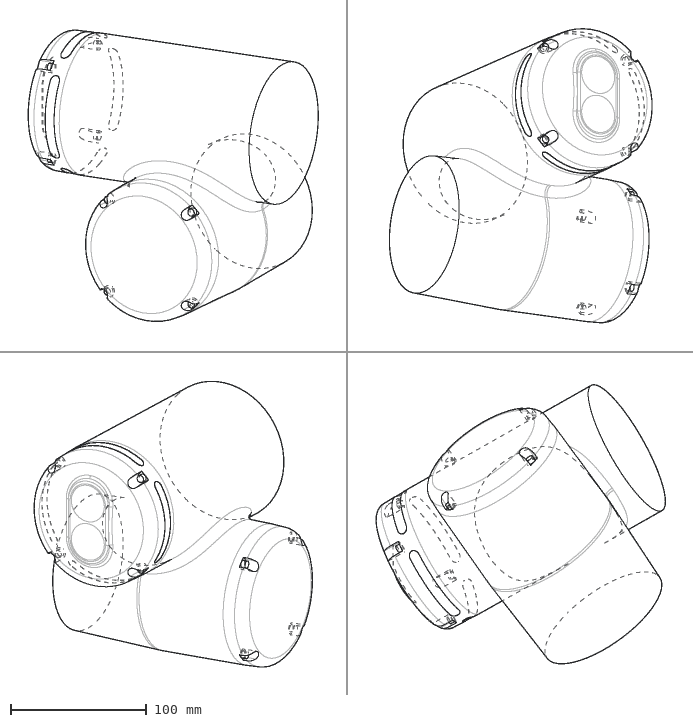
import cadquery as cq
import math


tolerance = 0.02
clearance = 2.0

main_radius = 53.0
main_right = 67.8
main_seam = -91.5
total_length = 195.5

branch_drop = 80.0
branch_waist_radius = 53.8
branch_open_radius = 51.0
branch_back = 74.5
branch_seam = 72.3
branch_waist_blend = 1.0
junction_fillet = 5.9

cap_shoulder_radius = 52.4
cap_face_radius = 44.5
cap_corner_depth = 8.2
cap_dome_rise = 3.5
main_skirt = 21.5
branch_skirt = 9.4

screw_circle_radius = 49.7
screw_head_radius = 2.7
screw_head_height = 3.5
notch_half_width = 4.1
main_notch_behind_shoulder = 6.8
branch_notch_behind_shoulder = 3.1

groove_width = 7.6
groove_half_height = 31.5
groove_depth = 0.2
groove_from_seam = 8.2

boss_half_spacing = 14.9
boss_half_width = 16.2
boss_taper = 42
boss_depth = 5.9
boss_rim_fillet = 2.5
boss_base_fillet = 3.5
lens_radius = 14.0
lens_rise = 1.47
boss_top = main_right - total_length + lens_rise


def spherical_radius(rim_radius, rise):
    """Radius of the sphere through a rim of the given radius, bulging by the given rise."""
    return (rim_radius**2 + rise**2) / (2 * rise)


dome_radius = spherical_radius(cap_face_radius, cap_dome_rise)
dome_centre_x = main_seam - main_skirt - cap_corner_depth - cap_dome_rise + dome_radius


def cap_blank(skirt):
    """Cap along +Z with its joint at Z = 0: tapered skirt, rounded corner and shallow dome."""
    face = skirt + cap_corner_depth
    corner_width = cap_shoulder_radius - cap_face_radius
    diagonal = math.sqrt(0.5)
    corner_mid = (
        cap_face_radius + corner_width * diagonal,
        skirt + cap_corner_depth * diagonal,
    )
    dome_centre = face + cap_dome_rise - dome_radius
    half_face = cap_face_radius / 2
    dome_mid = (half_face, dome_centre + math.sqrt(dome_radius**2 - half_face**2))
    return (
        cq.Workplane("XZ")
        .moveTo(0, 0)
        .lineTo(main_radius, 0)
        .lineTo(cap_shoulder_radius, skirt)
        .threePointArc(corner_mid, (cap_face_radius, face))
        .threePointArc(dome_mid, (0, face + cap_dome_rise))
        .close()
        .revolve(360, (0, 0, 0), (0, 1, 0))
    )


def add_screws(cap, skirt, notch_behind_shoulder):
    """Cut four radial notches into the cap corner and stand a screw head in each."""
    height = notch_behind_shoulder + cap_corner_depth + cap_dome_rise
    length = main_radius + clearance - screw_circle_radius
    floor = cq.Workplane("XY").workplane(offset=skirt - notch_behind_shoulder)
    rounded_end = floor.center(screw_circle_radius, 0).circle(notch_half_width).extrude(height)
    channel = (
        floor.center(screw_circle_radius + length / 2, 0)
        .rect(length, 2 * notch_half_width)
        .extrude(height)
    )
    notch = rounded_end.union(channel)
    head = floor.center(screw_circle_radius, 0).circle(screw_head_radius).extrude(screw_head_height)
    for angle in (45, 135, 225, 315):
        cap = cap.cut(notch.rotate((0, 0, 0), (0, 0, 1), angle))
        cap = cap.union(head.rotate((0, 0, 0), (0, 0, 1), angle))
    return cap


def to_main_end(cap):
    """Turn a cap from +Z to -X and seat it on the main tube."""
    return cap.rotate((0, 0, 0), (0, 1, 0), -90).translate((main_seam, 0, 0))


def to_branch_end(cap):
    """Turn a cap from +Z to -Y and seat it on the branch tube."""
    return cap.rotate((0, 0, 0), (1, 0, 0), 90).translate((0, -branch_seam, -branch_drop))


def branch_tube():
    """Branch tube as two cones meeting at a softly rounded waist."""
    front_slope = (branch_waist_radius - main_radius) / branch_seam
    back_slope = (branch_waist_radius - branch_open_radius) / branch_back
    blend = branch_waist_blend
    return (
        cq.Workplane("XY")
        .moveTo(0, -branch_seam)
        .lineTo(main_radius, -branch_seam)
        .lineTo(branch_waist_radius - front_slope * blend, -blend)
        .tangentArcPoint((branch_waist_radius - back_slope * blend, blend), relative=False)
        .lineTo(branch_open_radius, branch_back)
        .lineTo(0, branch_back)
        .close()
        .revolve(360, (0, 0, 0), (0, 1, 0))
        .translate((0, 0, -branch_drop))
    )


def is_junction(edge):
    """True for the edges where the branch tube leaves the side of the main tube."""
    if edge.geomType() in ("LINE", "CIRCLE"):
        return False
    points = [edge.positionAt(fraction) for fraction in (0.3, 0.6)]
    return all(abs(math.hypot(point.y, point.z) - main_radius) < tolerance for point in points)


def tubes():
    """Main tube and branch tube joined by a fillet all round."""
    main = (
        cq.Workplane("YZ")
        .workplane(offset=main_seam)
        .circle(main_radius)
        .extrude(main_right - main_seam)
    )
    joined = main.union(branch_tube())
    junction = [edge for edge in joined.edges().vals() if is_junction(edge)]
    return joined.newObject(junction).fillet(junction_fillet)


def grooves():
    """Four round-ended bands just under the skirt surface, a quarter turn apart."""
    outer = main_radius + clearance
    skirt_end = main_seam - main_skirt
    ring = (
        cq.Workplane("XY")
        .moveTo(main_seam, main_radius - groove_depth)
        .lineTo(main_seam, outer)
        .lineTo(skirt_end, outer)
        .lineTo(skirt_end, cap_shoulder_radius - groove_depth)
        .close()
        .revolve(360, (0, 0, 0), (1, 0, 0))
    )
    slot = (
        cq.Workplane("XZ")
        .center(main_seam - groove_from_seam, 0)
        .slot2D(2 * groove_half_height, groove_width, 90)
        .extrude(outer)
    )
    band = ring.intersect(slot)
    return [band.rotate((0, 0, 0), (1, 0, 0), turn) for turn in (0, 90, 180, 270)]


def lens_boss():
    """Round-ended boss with sloping sides and a rounded rim, sunk into the main cap."""
    boss = (
        cq.Workplane("YZ")
        .workplane(offset=boss_top)
        .slot2D(2 * (boss_half_spacing + boss_half_width), 2 * boss_half_width, 90)
        .extrude(boss_depth, taper=-boss_taper)
    )
    return boss.faces("<X").edges().fillet(boss_rim_fillet)


def is_boss_base(edge):
    """True for the edges where the sloping sides of the boss meet the cap dome."""
    point = edge.positionAt(0.5)
    near_boss = abs(point.y) < cap_face_radius / 2 and abs(point.z) < cap_face_radius - clearance
    dome_distance = math.hypot(point.x - dome_centre_x, point.y, point.z)
    return near_boss and abs(dome_distance - dome_radius) < tolerance


def lens():
    """Shallow spherical cap on the XY plane, bulging towards +Z."""
    sphere_radius = spherical_radius(lens_radius, lens_rise)
    half = lens_radius / 2
    middle = (half, lens_rise - sphere_radius + math.sqrt(sphere_radius**2 - half**2))
    return (
        cq.Workplane("XZ")
        .lineTo(lens_radius, 0)
        .threePointArc(middle, (0, lens_rise))
        .close()
        .revolve(360, (0, 0, 0), (0, 1, 0))
    )


def main_cap():
    """Cap of the main tube with screws, grooves and the boss carrying a raised and a dished lens."""
    cap = add_screws(cap_blank(main_skirt), main_skirt, main_notch_behind_shoulder)
    cap = to_main_end(cap)
    for groove in grooves():
        cap = cap.cut(groove)
    cap = cap.union(lens_boss())
    base = [edge for edge in cap.edges().vals() if is_boss_base(edge)]
    cap = cap.newObject(base).fillet(boss_base_fillet)
    raised = lens().rotate((0, 0, 0), (0, 1, 0), -90).translate((boss_top, 0, boss_half_spacing))
    dished = lens().rotate((0, 0, 0), (0, 1, 0), 90).translate((boss_top, 0, -boss_half_spacing))
    return cap.union(raised).cut(dished)


def branch_cap():
    """Plain cap of the branch tube with its screws."""
    cap = add_screws(cap_blank(branch_skirt), branch_skirt, branch_notch_behind_shoulder)
    return to_branch_end(cap)


result = tubes().union(main_cap()).union(branch_cap())